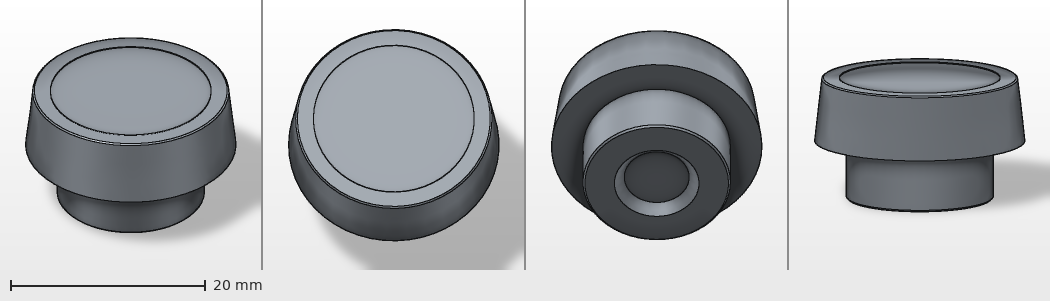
import cadquery as cq

HEAD_DIAMETER = 21.6
TOTAL_HEIGHT = 12.6

SHOULDER_HEIGHT = 6.0
RIM_DIAMETER = 20.13
RIM_BEVEL_WIDTH = 0.17
RIM_BEVEL_HEIGHT = 0.13

STEM_DIAMETER = 15.12
STEM_CHAMFER = 0.2

TOP_RECESS_DIAMETER = 16.5
TOP_RECESS_DEPTH = 0.1

BASE_RECESS_FLOOR_DIAMETER = 6.65
BASE_RECESS_DEPTH = 1.02
BASE_RECESS_MOUTH_DIAMETER = BASE_RECESS_FLOOR_DIAMETER + 2 * BASE_RECESS_DEPTH


def cone_frustum(bottom_diameter, top_diameter, bottom_z, height):
    """Round frustum on the Z axis."""
    axis_start = cq.Vector(0, 0, bottom_z)
    frustum = cq.Solid.makeCone(bottom_diameter / 2, top_diameter / 2, height, axis_start)
    return cq.Workplane(obj=frustum)


def stem():
    """Cylinder up to the shoulder, chamfered at its lower edge."""
    cylinder = cq.Workplane("XY").circle(STEM_DIAMETER / 2).extrude(SHOULDER_HEIGHT)
    return cylinder.faces("<Z").edges().chamfer(STEM_CHAMFER)


def head():
    """Tapered head with a small bevel around its top rim."""
    bevel_z = TOTAL_HEIGHT - RIM_BEVEL_HEIGHT
    top_diameter = RIM_DIAMETER - 2 * RIM_BEVEL_WIDTH
    side = cone_frustum(HEAD_DIAMETER, RIM_DIAMETER, SHOULDER_HEIGHT, bevel_z - SHOULDER_HEIGHT)
    rim = cone_frustum(RIM_DIAMETER, top_diameter, bevel_z, RIM_BEVEL_HEIGHT)
    return side.union(rim)


def top_recess():
    """Shallow flat-bottomed disc cut from the top face."""
    floor = cq.Workplane("XY").workplane(offset=TOTAL_HEIGHT - TOP_RECESS_DEPTH)
    return floor.circle(TOP_RECESS_DIAMETER / 2).extrude(TOP_RECESS_DEPTH)


def base_recess():
    """Tapered blind recess, widest at the underside."""
    return cone_frustum(BASE_RECESS_MOUTH_DIAMETER, BASE_RECESS_FLOOR_DIAMETER, 0, BASE_RECESS_DEPTH)


knob = stem().union(head())
result = knob.cut(top_recess()).cut(base_recess()).solids()